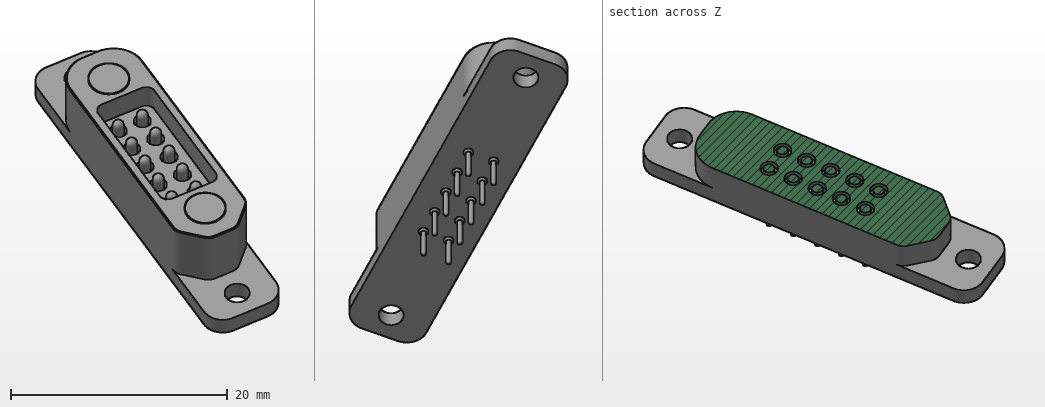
import cadquery as cq

flange_length = 35.55
width = 7.6
overall_height = 11.05
flange_thickness = 1.78
flange_corner_radius = 2.0
mount_hole_diameter = 2.3
mount_hole_x = 15.25

body_length = 25.4
body_top = 7.6
body_corner_radius = 3.0
body_chamfer = 2.35
chamfer_blend_radius = 1.3
top_edge_chamfer = 0.1

recess_length = 13.37
recess_width = 5.9
recess_depth = 2.55
recess_corner_radius = 0.85
recess_floor = body_top - recess_depth

plug_x = 9.17
plug_diameter = 3.85
plug_face_diameter = 3.7
plug_bevel = (plug_diameter - plug_face_diameter) / 2

pins_per_row = 5
row_count = 2
row_length = 10.17
pin_pitch = row_length / (pins_per_row - 1)
pin_diameter = 1.05
pin_well_diameter = 1.6
pin_well_depth = 1.05
pin_height = 1.3
collar_diameter = 0.92
tail_diameter = 0.5
tail_length = overall_height - body_top
collar_height = (collar_diameter - tail_diameter) / 2
collar_taper = 45

end_rounding = 0.99

pin_points = [
    ((column - (pins_per_row - 1) / 2) * pin_pitch, (row - (row_count - 1) / 2) * pin_pitch)
    for column in range(pins_per_row)
    for row in range(row_count)
]


def make_cylinders(points, diameter, bottom, height):
    base = cq.Workplane("XY", origin=(0, 0, bottom))
    return base.pushPoints(points).circle(diameter / 2).extrude(height)


def make_flange():
    plate = cq.Workplane("XY").box(flange_length, width, flange_thickness, centered=(True, True, False))
    plate = plate.edges("|Z").fillet(flange_corner_radius)
    hole_points = [(-mount_hole_x, 0), (mount_hole_x, 0)]
    holes = make_cylinders(hole_points, mount_hole_diameter, 0, flange_thickness)
    return plate.cut(holes)


def make_body():
    block = cq.Workplane("XY").box(body_length, width, body_top, centered=(True, True, False))
    block = block.edges("|Z and <X").fillet(body_corner_radius)
    block = block.edges("|Z and >X").chamfer(body_chamfer)
    chamfer_corners = cq.selectors.BoxSelector((0, -width, 0), (body_length, width, body_top))
    block = block.edges("|Z").edges(chamfer_corners).fillet(chamfer_blend_radius)
    return block.faces(">Z").edges().chamfer(top_edge_chamfer)


def make_recess():
    recess = cq.Workplane("XY", origin=(0, 0, recess_floor)).rect(recess_length, recess_width)
    return recess.extrude(recess_depth).edges("|Z").fillet(recess_corner_radius)


def make_plug_grooves():
    plug_points = [(-plug_x, 0), (plug_x, 0)]
    bevel_bottom = body_top - plug_bevel
    bores = make_cylinders(plug_points, plug_diameter, bevel_bottom, plug_bevel)
    plug_tops = make_cylinders(plug_points, plug_diameter, bevel_bottom - plug_bevel, 2 * plug_bevel)
    return bores.cut(plug_tops.faces(">Z").edges().chamfer(plug_bevel))


def make_pin_heads():
    heads = make_cylinders(pin_points, pin_diameter, recess_floor - pin_well_depth, pin_well_depth + pin_height)
    return heads.faces(">Z").edges().fillet(end_rounding * pin_diameter / 2)


def make_pin_tails():
    tails = make_cylinders(pin_points, tail_diameter, -tail_length, tail_length)
    tails = tails.faces("<Z").edges().fillet(end_rounding * tail_diameter / 2)
    collars = cq.Workplane("XY").pushPoints(pin_points).circle(collar_diameter / 2)
    return tails.union(collars.extrude(-collar_height, taper=collar_taper))


pin_wells = make_cylinders(pin_points, pin_well_diameter, recess_floor - pin_well_depth, pin_well_depth)

result = (
    make_flange()
    .union(make_body())
    .cut(make_recess())
    .cut(make_plug_grooves())
    .cut(pin_wells)
    .union(make_pin_heads())
    .union(make_pin_tails())
)